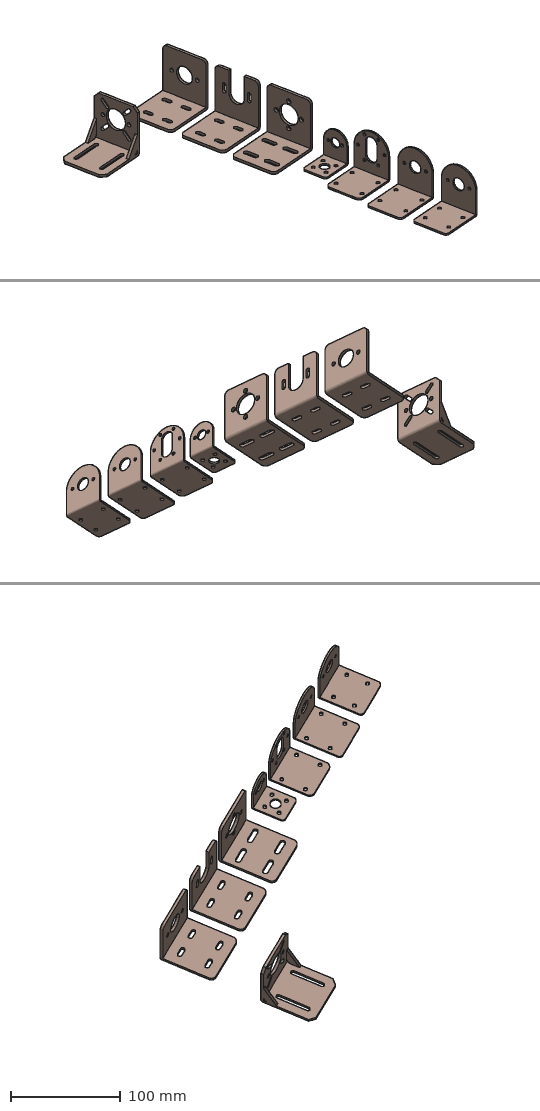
import cadquery as cq

WIDE_WIDTH = 50.0
WIDE_THICKNESS = 3.0
WIDE_CORNER = 5.0
WIDE_SLOT_WIDTH = 4.5

NARROW_WIDTH = 39.5
NARROW_THICKNESS = 2.0
BASE_HOLE = 3.5
FACE_HOLE = 3.0
SHAFT_HOLE = 13.0

SET_LENGTH = 360.0
WIDE_PITCH = SET_LENGTH / 6
GUSSET_BRACKET_BACK = -103.0
MINI_CENTER = 198.5
SLOTTED_CENTER = 239.8
LONG_SHAFT_CENTER = 290.0
SHORT_SHAFT_CENTER = SET_LENGTH - NARROW_WIDTH / 2
NARROW_BACK = -0.72


def pair(spacing, level):
    """Two points side by side at one level."""
    return [(-spacing / 2, level), (spacing / 2, level)]


def base_grid(x_spacing, setback, y_spacing):
    """Four base points; the first pair lies setback from the back of the wall."""
    return pair(x_spacing, -setback) + pair(x_spacing, -setback - y_spacing)


def angle_blank(width, depth, height, thickness):
    """Plain L-shaped bracket with its outer bend rounded to the sheet thickness."""
    profile = (
        cq.Workplane("YZ")
        .moveTo(0, 0)
        .lineTo(-depth, 0)
        .lineTo(-depth, thickness)
        .lineTo(-thickness, thickness)
        .lineTo(-thickness, height)
        .lineTo(0, height)
        .close()
    )
    blank = profile.extrude(width / 2, both=True)
    return blank.edges("|X and >Y and <Z").fillet(thickness)


def round_base_corners(bracket, radius):
    return bracket.faces("<Y").edges("|Z").fillet(radius)


def wide_blank(depth, height):
    """Wide bracket with all four free corners rounded."""
    blank = angle_blank(WIDE_WIDTH, depth, height, WIDE_THICKNESS)
    blank = round_base_corners(blank, WIDE_CORNER)
    return blank.faces(">Z").edges("|Y").fillet(WIDE_CORNER)


def arch_blank(width, depth, arch_height, corner):
    """Thin bracket whose wall ends in a half circle centred at arch_height."""
    blank = angle_blank(width, depth, arch_height, NARROW_THICKNESS)
    arch = (
        cq.Workplane("XZ")
        .center(0, arch_height)
        .circle(width / 2)
        .extrude(NARROW_THICKNESS)
    )
    return round_base_corners(blank.union(arch), corner)


def drill(bracket, plane, points, diameter):
    hole = cq.Workplane(plane).pushPoints(points).circle(diameter / 2)
    return bracket.cut(hole.extrude(WIDE_THICKNESS))


def cut_slots(bracket, plane, points, length, width, angle=0):
    slot = cq.Workplane(plane).pushPoints(points).slot2D(length, width, angle)
    return bracket.cut(slot.extrude(WIDE_THICKNESS))


def cut_base_slots(bracket):
    """Four short slots shared by the bore and fork brackets."""
    slot_length = 10.0
    slot_x_spacing = 22.0
    slot_setback = 14.8
    slot_y_spacing = 28.0
    centers = base_grid(slot_x_spacing, slot_setback, slot_y_spacing)
    return cut_slots(bracket, "XY", centers, slot_length, WIDE_SLOT_WIDTH)


def make_bore_bracket():
    depth = 55.0
    height = 52.2
    bore = 18.0
    bore_height = 28.0
    face_hole = 4.0
    face_hole_spacing = 29.5
    bracket = wide_blank(depth, height)
    bracket = drill(bracket, "XZ", [(0, bore_height)], bore)
    bracket = drill(bracket, "XZ", pair(face_hole_spacing, bore_height), face_hole)
    return cut_base_slots(bracket)


def make_fork_bracket():
    depth = 55.0
    height = 52.2
    mouth_width = 17.5
    mouth_arc_height = 28.0
    face_slot_length = 10.5
    face_slot_width = 4.0
    face_slot_spacing = 28.8
    face_slot_height = 31.5
    bracket = wide_blank(depth, height)
    mouth = (
        cq.Workplane("XZ")
        .moveTo(-mouth_width / 2, height)
        .lineTo(-mouth_width / 2, mouth_arc_height)
        .threePointArc((0, mouth_arc_height - mouth_width / 2), (mouth_width / 2, mouth_arc_height))
        .lineTo(mouth_width / 2, height)
        .close()
        .extrude(WIDE_THICKNESS)
    )
    bracket = bracket.cut(mouth)
    face_slots = pair(face_slot_spacing, face_slot_height)
    bracket = cut_slots(bracket, "XZ", face_slots, face_slot_length, face_slot_width, 90)
    return cut_base_slots(bracket)


def make_large_bore_bracket():
    depth = 57.0
    height = 54.0
    bore = 21.5
    bore_height = 30.0
    face_hole = 4.5
    face_hole_spacing = 28.8
    slot_length = 16.0
    slot_width = 5.0
    slot_x_spacing = 24.0
    slot_setback = 16.2
    slot_y_spacing = 27.7
    bracket = wide_blank(depth, height)
    bracket = drill(bracket, "XZ", [(0, bore_height)], bore)
    face_holes = pair(face_hole_spacing, bore_height)
    face_holes += [(0, bore_height - face_hole_spacing / 2), (0, bore_height + face_hole_spacing / 2)]
    bracket = drill(bracket, "XZ", face_holes, face_hole)
    base_slots = base_grid(slot_x_spacing, slot_setback, slot_y_spacing)
    return cut_slots(bracket, "XY", base_slots, slot_length, slot_width)


def add_gussets(bracket):
    """Two triangular side webs, each clipped where it would meet the inner bend."""
    gusset_foot = 16.2
    gusset_top = 23.0
    relief = 3.0
    inside = WIDE_THICKNESS
    outline = [
        (-inside, inside + relief),
        (-inside, gusset_top),
        (-gusset_foot, inside),
        (-inside - relief, inside),
    ]
    for start in (-WIDE_WIDTH / 2, WIDE_WIDTH / 2 - WIDE_THICKNESS):
        gusset = cq.Workplane("YZ", origin=(start, 0, 0)).polyline(outline).close()
        bracket = bracket.union(gusset.extrude(WIDE_THICKNESS))
    return bracket


def cut_diagonal_slots(bracket, center_height):
    """Four slots at 45 degrees, pointing at the bore."""
    diagonal_length = 11.0
    diagonal_width = 3.5
    diagonal_reach = 12.5
    for side in (-1, 1):
        for level in (-1, 1):
            center = (side * diagonal_reach, center_height + level * diagonal_reach)
            angle = 45 * side * level
            bracket = cut_slots(bracket, "XZ", [center], diagonal_length, diagonal_width, angle)
    return bracket


def make_gusset_bracket():
    depth = 54.0
    height = 51.0
    chamfer = 5.0
    bore = 22.0
    bore_height = 30.0
    face_hole = 4.0
    face_hole_spacing = 30.0
    slot_length = 34.2
    slot_width = 4.0
    slot_spacing = 29.5
    slot_setback = 28.0
    bracket = angle_blank(WIDE_WIDTH, depth, height, WIDE_THICKNESS)
    bracket = bracket.faces("<Y").edges("|Z").chamfer(chamfer)
    bracket = bracket.faces(">Z").edges("|Y").chamfer(chamfer)
    bracket = add_gussets(bracket)
    bracket = drill(bracket, "XZ", [(0, bore_height)], bore)
    bracket = drill(bracket, "XZ", pair(face_hole_spacing, bore_height), face_hole)
    bracket = cut_diagonal_slots(bracket, bore_height)
    return cut_slots(bracket, "XY", pair(slot_spacing, -slot_setback), slot_length, slot_width, 90)


def make_mini_bracket():
    width = 27.0
    depth = 33.5
    corner = 3.05
    arch_height = 19.5
    bore_height = 19.5
    bore = 10.0
    face_hole = 3.1
    face_hole_spacing = 15.5
    base_bore_setback = 18.0
    base_hole_spacing = 14.8
    bracket = arch_blank(width, depth, arch_height, corner)
    bracket = drill(bracket, "XZ", [(0, bore_height)], bore)
    bracket = drill(bracket, "XZ", pair(face_hole_spacing, bore_height), face_hole)
    bracket = drill(bracket, "XY", [(0, -base_bore_setback)], bore)
    first_setback = base_bore_setback - base_hole_spacing / 2
    base_holes = base_grid(base_hole_spacing, first_setback, base_hole_spacing)
    return drill(bracket, "XY", base_holes, BASE_HOLE)


def make_slotted_bracket():
    depth = 44.5
    corner = 5.0
    arch_height = 26.3
    slot_height = 27.0
    slot_length = 27.0
    outer_hole_spacing = 30.5
    inner_hole_x_spacing = 16.0
    inner_hole_z_spacing = 27.5
    base_hole_x_spacing = 30.0
    base_hole_setback = 11.0
    base_hole_y_spacing = 24.0
    bracket = arch_blank(NARROW_WIDTH, depth, arch_height, corner)
    bracket = cut_slots(bracket, "XZ", [(0, slot_height)], slot_length, SHAFT_HOLE, 90)
    face_holes = pair(outer_hole_spacing, slot_height)
    face_holes += pair(inner_hole_x_spacing, slot_height - inner_hole_z_spacing / 2)
    face_holes += pair(inner_hole_x_spacing, slot_height + inner_hole_z_spacing / 2)
    bracket = drill(bracket, "XZ", face_holes, FACE_HOLE)
    base_holes = base_grid(base_hole_x_spacing, base_hole_setback, base_hole_y_spacing)
    return drill(bracket, "XY", base_holes, BASE_HOLE)


def shaft_bracket(depth, corner, base_holes):
    shaft_height = 27.0
    face_hole_spacing = 25.0
    bracket = arch_blank(NARROW_WIDTH, depth, shaft_height, corner)
    bracket = drill(bracket, "XZ", [(0, shaft_height)], SHAFT_HOLE)
    bracket = drill(bracket, "XZ", pair(face_hole_spacing, shaft_height), FACE_HOLE)
    return drill(bracket, "XY", base_holes, BASE_HOLE)


def make_long_shaft_bracket():
    depth = 49.0
    corner = 3.42
    hole_x_spacing = 30.0
    hole_setback = 11.0
    hole_y_spacing = 24.0
    return shaft_bracket(depth, corner, base_grid(hole_x_spacing, hole_setback, hole_y_spacing))


def make_short_shaft_bracket():
    depth = 45.7
    corner = 3.5
    hole_x_spacing = 27.0
    hole_setback = 13.0
    hole_y_spacing = 21.2
    return shaft_bracket(depth, corner, base_grid(hole_x_spacing, hole_setback, hole_y_spacing))


WIDE_START = WIDE_WIDTH / 2

bore_bracket = make_bore_bracket().translate((WIDE_START, 0, 0))
fork_bracket = make_fork_bracket().translate((WIDE_START + WIDE_PITCH, 0, 0))
large_bore_bracket = make_large_bore_bracket().translate((WIDE_START + 2 * WIDE_PITCH, 0, 0))
gusset_bracket = make_gusset_bracket().translate((WIDE_START, GUSSET_BRACKET_BACK, 0))
mini_bracket = make_mini_bracket().translate((MINI_CENTER, NARROW_BACK, 0))
slotted_bracket = make_slotted_bracket().translate((SLOTTED_CENTER, NARROW_BACK, 0))
long_shaft_bracket = make_long_shaft_bracket().translate((LONG_SHAFT_CENTER, NARROW_BACK, 0))
short_shaft_bracket = make_short_shaft_bracket().translate((SHORT_SHAFT_CENTER, NARROW_BACK, 0))

result = cq.Compound.makeCompound([
    bore_bracket.val(),
    fork_bracket.val(),
    large_bore_bracket.val(),
    gusset_bracket.val(),
    mini_bracket.val(),
    slotted_bracket.val(),
    long_shaft_bracket.val(),
    short_shaft_bracket.val(),
])